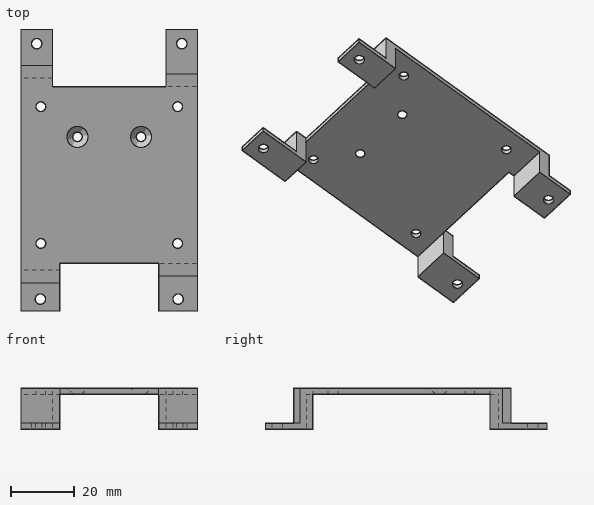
import cadquery as cq

plate_side = 55.6
plate_thickness = 2.0
total_height = 13.0
total_length = 88.54
half_side = plate_side / 2

wall_thickness = 4.0
foot_thickness = 2.0
front_leg_width = 12.3
back_leg_width = 10.0
front_leg_reach = 14.94
back_leg_reach = total_length - plate_side - front_leg_reach

right_wall_offset = wall_thickness
front_left_wall_offset = 6.1
back_left_wall_offset = 6.7

foot_hole_diameter = 3.2
front_foot_hole_spacing = 43.3
back_foot_hole_spacing = 45.6
front_foot_hole_y = -39.0
back_foot_hole_y = 41.3

plate_hole_diameter = 3.0
plate_hole_spacing = 43.0

countersunk_hole_diameter = 2.9
countersink_diameter = 6.6
countersink_angle = 90.0
countersunk_hole_spacing = 20.0
countersunk_hole_y = 12.0


def make_plate():
    plate = cq.Workplane("XY").box(
        plate_side, plate_side, plate_thickness, centered=(True, True, False)
    )
    return plate.translate((0, 0, total_height - plate_thickness))


def make_leg(side, end, width, wall_offset, reach):
    """Leg at one plate corner: side is -1 left or 1 right, end is -1 front or 1 back."""
    plate_edge = end * half_side
    wall_outer = end * (half_side + wall_offset)
    wall_inner = end * (half_side + wall_offset - wall_thickness)
    foot_tip = end * (half_side + reach)
    profile = [
        (plate_edge, total_height),
        (wall_outer, total_height),
        (wall_outer, foot_thickness),
        (foot_tip, foot_thickness),
        (foot_tip, 0),
        (wall_inner, 0),
        (wall_inner, total_height - plate_thickness),
    ]
    if wall_offset > wall_thickness:
        profile.append((plate_edge, total_height - plate_thickness))
    leg = cq.Workplane("YZ").polyline(profile).close().extrude(width)
    leg_start = -half_side if side < 0 else half_side - width
    return leg.translate((leg_start, 0, 0))


def drill_foot_holes(part, spacing, y):
    holes = (
        cq.Workplane("XY")
        .pushPoints([(-spacing / 2, y), (spacing / 2, y)])
        .circle(foot_hole_diameter / 2)
        .extrude(foot_thickness)
    )
    return part.cut(holes)


def drill_plate_holes(part):
    return (
        part.faces(">Z")
        .workplane(origin=(0, 0, total_height))
        .rect(plate_hole_spacing, plate_hole_spacing, forConstruction=True)
        .vertices()
        .hole(plate_hole_diameter)
    )


def drill_countersunk_holes(part):
    half_spacing = countersunk_hole_spacing / 2
    return (
        part.faces(">Z")
        .workplane(origin=(0, 0, total_height))
        .pushPoints([(-half_spacing, countersunk_hole_y), (half_spacing, countersunk_hole_y)])
        .cskHole(countersunk_hole_diameter, countersink_diameter, countersink_angle)
    )


result = make_plate()
for side, front_offset, back_offset in (
    (-1, front_left_wall_offset, back_left_wall_offset),
    (1, right_wall_offset, right_wall_offset),
):
    result = result.union(make_leg(side, -1, front_leg_width, front_offset, front_leg_reach))
    result = result.union(make_leg(side, 1, back_leg_width, back_offset, back_leg_reach))
result = drill_foot_holes(result, front_foot_hole_spacing, front_foot_hole_y)
result = drill_foot_holes(result, back_foot_hole_spacing, back_foot_hole_y)
result = drill_plate_holes(result)
result = drill_countersunk_holes(result)